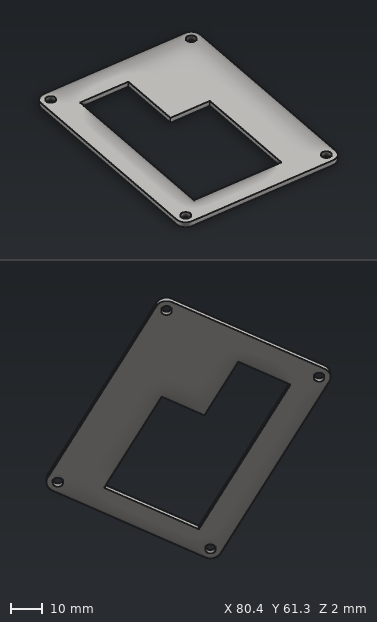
import cadquery as cq

length = 80.4
width = 61.3
thickness = 2.0
corner_radius = 3.6

hole_diameter = 3.4
hole_spacing_x = length - 2 * corner_radius
hole_spacing_y = width - 2 * corner_radius

margin_left = 10.3
margin_right = 8.5
margin_bottom = 10.3
margin_top = 17.45
step_length = 22.8
step_height = 15.1

window_left = -length / 2 + margin_left
window_right = length / 2 - margin_right
window_bottom = -width / 2 + margin_bottom
window_top = width / 2 - margin_top
step_x = window_left + step_length
step_y = window_top - step_height


def make_plate():
    plate = cq.Workplane("XY").box(length, width, thickness, centered=(True, True, False))
    return plate.edges("|Z").fillet(corner_radius)


def make_holes():
    return (
        cq.Workplane("XY")
        .rect(hole_spacing_x, hole_spacing_y, forConstruction=True)
        .vertices()
        .circle(hole_diameter / 2)
        .extrude(thickness)
    )


def make_window():
    outline = [
        (window_left, window_bottom),
        (window_right, window_bottom),
        (window_right, window_top),
        (step_x, window_top),
        (step_x, step_y),
        (window_left, step_y),
    ]
    return cq.Workplane("XY").polyline(outline).close().extrude(thickness)


result = make_plate().cut(make_holes()).cut(make_window())